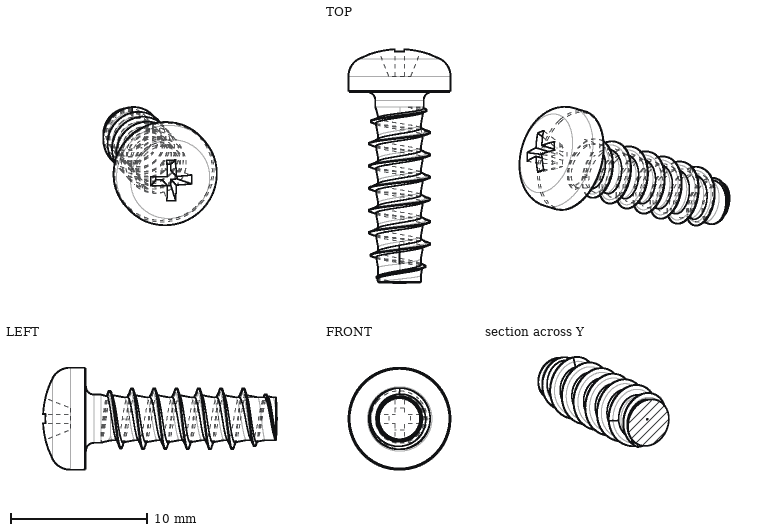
import cadquery as cq
import math


head_radius = 7.5 / 2
head_height = 3.17
crown_radius = 6.5
shoulder_radius = 1.45
rim_edge_radius = 0.1

wing_width = 0.66
wing_length = 3.2
recess_depth = 2.0
recess_floor_length = 1.6

shank_length = 14.0
neck_radius = 1.78
neck_fillet_radius = 0.58
neck_length = 1.07
core_radius = 1.58
neck_taper_end = 1.79
tip_cone_height = 0.05
tip_chamfer_length = 0.06
tip_face_radius = 1.5
tip_edge = shank_length - tip_cone_height
thread_end = tip_edge - tip_chamfer_length

pitch = 1.633
thread_radius = 4.5 / 2
crest_width = 0.06
first_crest = 0.1
sunk_radius = 1.55
knee_radius = 1.97
head_flank_knee = 0.12
head_flank_foot = 0.33
tip_flank_foot = 0.25
root_radius = 1.75
root_taper_start = 0.13
root_taper_end = 1.2

full_height_turn = 1.75
fade_turn = 7
thread_end_turn = 8.6
rise_per_length = 0.156
fade_per_length = 0.2735
root_fade_per_length = 0.06

CYLINDRICAL = 360


def revolve(profile):
    """Turn a closed (x = radius, y = z) profile around the screw axis."""
    return profile.close().revolve(360, (0, 0, 0), (0, 1, 0))


def make_head():
    crown_centre_z = crown_radius - head_height
    shoulder_centre_x = head_radius - shoulder_radius
    centre_rise = math.sqrt((crown_radius - shoulder_radius) ** 2 - shoulder_centre_x**2)
    shoulder_centre_z = crown_centre_z - centre_rise
    crown_angle = math.atan2(shoulder_centre_x, centre_rise)
    shoulder_angle = (crown_angle + math.pi / 2) / 2

    def on_crown(angle):
        return (crown_radius * math.sin(angle), crown_centre_z - crown_radius * math.cos(angle))

    def on_shoulder(angle):
        return (
            shoulder_centre_x + shoulder_radius * math.sin(angle),
            shoulder_centre_z - shoulder_radius * math.cos(angle),
        )

    profile = (
        cq.Workplane("XZ")
        .moveTo(0, -head_height)
        .threePointArc(on_crown(crown_angle / 2), on_crown(crown_angle))
        .threePointArc(on_shoulder(shoulder_angle), (head_radius, shoulder_centre_z))
        .lineTo(head_radius, -rim_edge_radius)
        .radiusArc((head_radius - rim_edge_radius, 0), rim_edge_radius)
        .lineTo(0, 0)
    )
    return revolve(profile)


def make_recess():
    """Two crossed wings that narrow towards the recess floor."""
    top = -head_height
    floor = top + recess_depth
    wing = (
        cq.Workplane("XZ")
        .moveTo(-wing_length / 2, top)
        .lineTo(wing_length / 2, top)
        .lineTo(recess_floor_length / 2, floor)
        .lineTo(-recess_floor_length / 2, floor)
        .close()
        .extrude(wing_width / 2, both=True)
    )
    return wing.union(wing.rotate((0, 0, 0), (0, 0, 1), 90))


def make_shank():
    profile = (
        cq.Workplane("XZ")
        .moveTo(0, 0)
        .lineTo(neck_radius + neck_fillet_radius, 0)
        .radiusArc((neck_radius, neck_fillet_radius), neck_fillet_radius)
        .lineTo(neck_radius, neck_length)
        .lineTo(core_radius, neck_taper_end)
        .lineTo(core_radius, thread_end)
        .lineTo(tip_face_radius, tip_edge)
        .lineTo(0, shank_length)
    )
    return revolve(profile)


def sweep_turns(section, from_turn, to_turn, radius_growth=0.0):
    """Sweep a section of (radius, z from the crest) points along the thread helix.

    The section has its true radii at to_turn. With radius_growth, it starts out
    smaller at from_turn and grows by that much radius per unit of axial length.
    If to_turn comes first, the sweep runs towards the head: it is made upside
    down and turned over, which keeps its hand.
    """
    length = pitch * abs(to_turn - from_turn)
    direction = math.copysign(1, to_turn - from_turn)
    radius_shift = -radius_growth * length
    cone_angle = math.atan(radius_growth)
    helix_angle = math.degrees(cone_angle) if radius_growth else CYLINDRICAL
    helix = cq.Wire.makeHelix(
        pitch / math.cos(cone_angle),
        length / math.cos(cone_angle),
        core_radius + radius_shift,
        angle=helix_angle,
    )
    stretch = (
        cq.Workplane("XZ")
        .polyline([(radius + radius_shift, direction * z) for radius, z in section])
        .close()
        .sweep(cq.Workplane(helix), isFrenet=True)
    )
    if direction < 0:
        stretch = stretch.rotate((0, 0, 0), (1, 0, 0), 180)
    return stretch.rotate((0, 0, 0), (0, 0, 1), 360 * from_turn).translate(
        (0, 0, first_crest + pitch * from_turn)
    )


def make_ridge():
    """Cutting ridge: a kinked flank towards the head, a narrow crest, a steep flank to the tip."""
    section = [
        (sunk_radius, -head_flank_foot),
        (knee_radius, -head_flank_knee),
        (thread_radius, -crest_width / 2),
        (thread_radius, crest_width / 2),
        (sunk_radius, tip_flank_foot),
    ]
    rising = sweep_turns(section, 0, full_height_turn, rise_per_length)
    full = sweep_turns(section, full_height_turn, fade_turn)
    fading = sweep_turns(section, thread_end_turn, fade_turn, fade_per_length)
    return rising.union(full).union(fading)


def make_root_taper():
    """Ramp of the core that narrows from each turn of the ridge towards the next."""
    section = [
        (sunk_radius, 0),
        (root_radius, root_taper_start),
        (sunk_radius, root_taper_end),
    ]
    full = sweep_turns(section, 0, fade_turn)
    fading = sweep_turns(section, thread_end_turn, fade_turn, root_fade_per_length)
    return full.union(fading)


def make_threaded_shank():
    """Shank with the thread, which is kept between the neck and the tip chamfer."""
    threaded_stretch = (
        cq.Workplane("XY", origin=(0, 0, neck_length))
        .circle(head_radius)
        .extrude(thread_end - neck_length)
    )
    root_taper = make_root_taper().intersect(threaded_stretch)
    ridge = make_ridge().intersect(threaded_stretch)
    return make_shank().union(root_taper).union(ridge)


screw_placement = cq.Plane(origin=(0, 0, 0), xDir=(0, 0, 1), normal=(0, -1, 0)).location

head = make_head().cut(make_recess())
screw = make_threaded_shank().union(head)
result = cq.Workplane(screw.val().moved(screw_placement))